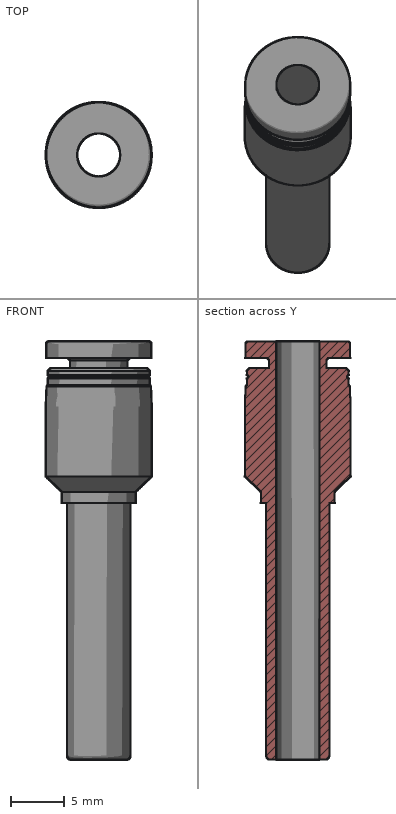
import cadquery as cq

total_height = 39.4
body_diameter = 10.0
bore_diameter = 4.0
stem_diameter = 6.0

collar_bottom = 24.15
cone_bottom = 25.2
body_bottom = 26.67
taper_bottom = 33.2
taper_top = 35.15
groove_bottom = 35.9
groove_top = 36.2
sleeve_top = 36.88
flange_bottom = 37.8

collar_diameter = 6.97
taper_top_diameter = 9.85
sleeve_diameter = 9.6
groove_root_diameter = 9.3
neck_diameter = 5.45
flange_diameter = 9.93

stem_end_fillet = 0.4
body_top_chamfer = 0.1
sleeve_chamfer = 0.28
neck_chamfer = 0.2
flange_fillet = 0.3


def cylinder(diameter, bottom, top):
    """Upright cylinder on the Z axis between two heights."""
    return cq.Workplane("XY").workplane(offset=bottom).circle(diameter / 2).extrude(top - bottom)


def cone(bottom_diameter, top_diameter, bottom, top):
    """Upright truncated cone on the Z axis between two heights."""
    return cq.Workplane(
        cq.Solid.makeCone(
            bottom_diameter / 2,
            top_diameter / 2,
            top - bottom,
            pnt=cq.Vector(0, 0, bottom),
        )
    )


def make_stem():
    """Plug-in stem with a rounded free end and a collar below the body."""
    stem = cylinder(stem_diameter, 0, collar_bottom).faces("<Z").edges().fillet(stem_end_fillet)
    collar = cylinder(collar_diameter, collar_bottom, cone_bottom)
    return stem.union(collar)


def make_body():
    """Main body with a conical underside and a slight taper and a chamfer at the top."""
    underside = cone(collar_diameter, body_diameter, cone_bottom, body_bottom)
    barrel = cylinder(body_diameter, body_bottom, taper_bottom)
    taper = cone(body_diameter, taper_top_diameter, taper_bottom, taper_top)
    chamfer_top = taper_top + body_top_chamfer
    top_chamfer = cone(taper_top_diameter, sleeve_diameter, taper_top, chamfer_top)
    return underside.union(barrel).union(taper).union(top_chamfer)


def make_sleeve():
    """Sleeve on the body, with a V-shaped ring groove and a chamfered top edge."""
    lower_ring = cylinder(sleeve_diameter, taper_top, groove_bottom)
    groove_root = (groove_bottom + groove_top) / 2
    lower_flank = cone(sleeve_diameter, groove_root_diameter, groove_bottom, groove_root)
    upper_flank = cone(groove_root_diameter, sleeve_diameter, groove_root, groove_top)
    upper_ring = cylinder(sleeve_diameter, groove_top, sleeve_top)
    upper_ring = upper_ring.faces(">Z").edges().chamfer(sleeve_chamfer)
    return lower_ring.union(lower_flank).union(upper_flank).union(upper_ring)


def make_release_button():
    """Release button: a narrow neck flaring into a round flange."""
    flare_bottom = flange_bottom - neck_chamfer
    flare_diameter = neck_diameter + 2 * neck_chamfer
    neck = cylinder(neck_diameter, sleeve_top, flare_bottom)
    flare = cone(neck_diameter, flare_diameter, flare_bottom, flange_bottom)
    flange = cylinder(flange_diameter, flange_bottom, total_height)
    flange = flange.faces(">Z").edges().fillet(flange_fillet)
    return neck.union(flare).union(flange)


fitting = make_stem().union(make_body()).union(make_sleeve()).union(make_release_button())
result = fitting.cut(cylinder(bore_diameter, 0, total_height))